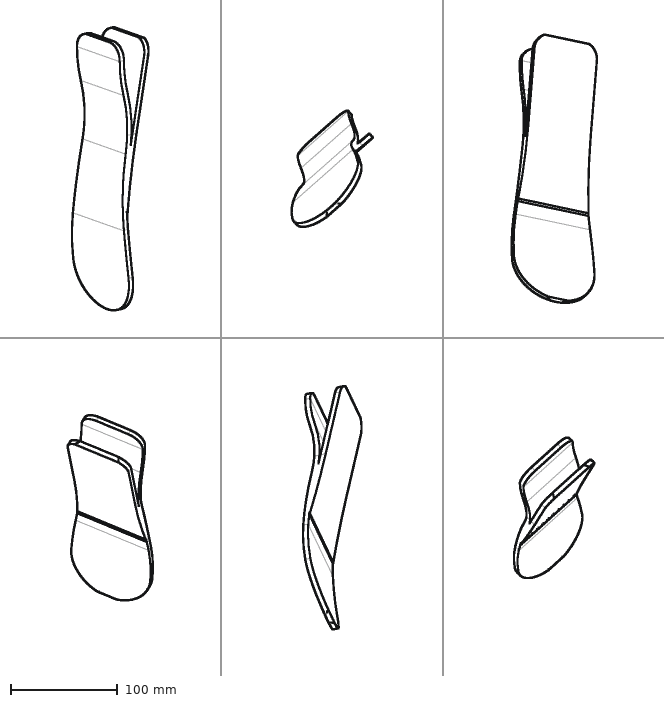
import cadquery as cq
import math

LENGTH = 266.7
DEPTH = 37.0
BLADE_WIDTH = 82.7
TAB_WIDTH = 64.0
THICKNESS = 5.0
CORNER_RADIUS = 15.2

TAB_FLAT_Z = 251.2
INFLECTION_Z = 217.3
NECK_Z = 159.7
BELLY_Z = 87.5

INFLECTION_LEAN = 15.4
NECK_LEAN = -10.8
TIP_LEAN = 14.2

LEG_LEAN = -NECK_LEAN
LEG_TOP_Z = 266.5
LEG_FRONT_END_Z = 120.0
LEG_BACK_END_Z = 101.3

LOBE_RADIUS = BLADE_WIDTH / 2
WAIST_Z = 88.0
WAIST_HALF_WIDTH = 38.1
TAPER_TOP_Z = 177.5

STRIP_ARCS = [
    (INFLECTION_Z, INFLECTION_LEAN),
    (NECK_Z, NECK_LEAN),
    (BELLY_Z, 0.0),
    (0.0, TIP_LEAN),
]


def strip_point(y, z, lean, offset):
    """Move a front-face point backward along the local surface normal."""
    angle = math.radians(lean)
    return (y + offset * math.cos(angle), z + offset * math.sin(angle))


def strip_arcs(offset):
    """Midpoint and endpoint of every arc of the strip, at a given offset from its front face."""
    y, z, lean = 0.0, TAB_FLAT_Z, 0.0
    arcs = []
    for end_z, end_lean in STRIP_ARCS:
        start, end = math.radians(lean), math.radians(end_lean)
        radius = (z - end_z) / (math.sin(end) - math.sin(start))
        middle_lean = (lean + end_lean) / 2
        middle = math.radians(middle_lean)
        middle_y = y + radius * (math.cos(start) - math.cos(middle))
        middle_z = z - radius * (math.sin(middle) - math.sin(start))
        y += radius * (math.cos(start) - math.cos(end))
        z, lean = end_z, end_lean
        arcs.append((strip_point(middle_y, middle_z, middle_lean, offset), strip_point(y, z, lean, offset)))
    return arcs


def front_strip():
    """Curved strip of constant thickness running from the tab to the tip."""
    front = strip_arcs(0.0)
    back = strip_arcs(THICKNESS)
    profile = cq.Workplane("YZ").moveTo(0, LENGTH).lineTo(0, TAB_FLAT_Z)
    for middle, end in front:
        profile = profile.threePointArc(middle, end)
    profile = profile.lineTo(*back[-1][1])
    back_ends = [(THICKNESS, TAB_FLAT_Z)] + [end for _, end in back[:-1]]
    for (middle, _), end in zip(reversed(back), reversed(back_ends)):
        profile = profile.threePointArc(middle, end)
    return profile.lineTo(THICKNESS, LENGTH).close().extrude(BLADE_WIDTH / 2, both=True)


def rear_leg():
    """Straight, square-ended leg leaning backward; its lower end is buried in the front strip."""
    lean = math.radians(LEG_LEAN)
    back_top_z = LEG_TOP_Z - THICKNESS * math.sin(lean)
    front_top_y = DEPTH - THICKNESS * math.cos(lean)
    back_end_y = DEPTH - math.tan(lean) * (back_top_z - LEG_BACK_END_Z)
    front_end_y = front_top_y - math.tan(lean) * (LEG_TOP_Z - LEG_FRONT_END_Z)
    points = [
        (DEPTH, back_top_z),
        (front_top_y, LEG_TOP_Z),
        (front_end_y, LEG_FRONT_END_Z),
        (back_end_y, LEG_BACK_END_Z),
    ]
    return cq.Workplane("YZ").polyline(points).close().extrude(BLADE_WIDTH / 2, both=True)


def side_outline():
    """Outline with rounded top corners and a round tip that trims both strips along Y."""
    tab_half = TAB_WIDTH / 2
    corner_z = LENGTH - CORNER_RADIUS
    taper_lean = 2 * math.atan((WAIST_HALF_WIDTH - tab_half) / (TAPER_TOP_Z - WAIST_Z))
    taper_radius = (TAPER_TOP_Z - WAIST_Z) / math.sin(taper_lean)
    bulge_radius = (WAIST_Z - LOBE_RADIUS) / math.sin(taper_lean)
    half = (
        cq.Workplane("XZ")
        .moveTo(0, 0)
        .radiusArc((LOBE_RADIUS, LOBE_RADIUS), -LOBE_RADIUS)
        .radiusArc((WAIST_HALF_WIDTH, WAIST_Z), -bulge_radius)
        .radiusArc((tab_half, TAPER_TOP_Z), taper_radius)
        .lineTo(tab_half, corner_z)
        .radiusArc((tab_half - CORNER_RADIUS, LENGTH), -CORNER_RADIUS)
        .lineTo(0, LENGTH)
        .close()
        .extrude(-DEPTH)
    )
    return half.union(half.mirror("YZ")).clean()


result = front_strip().union(rear_leg()).intersect(side_outline())